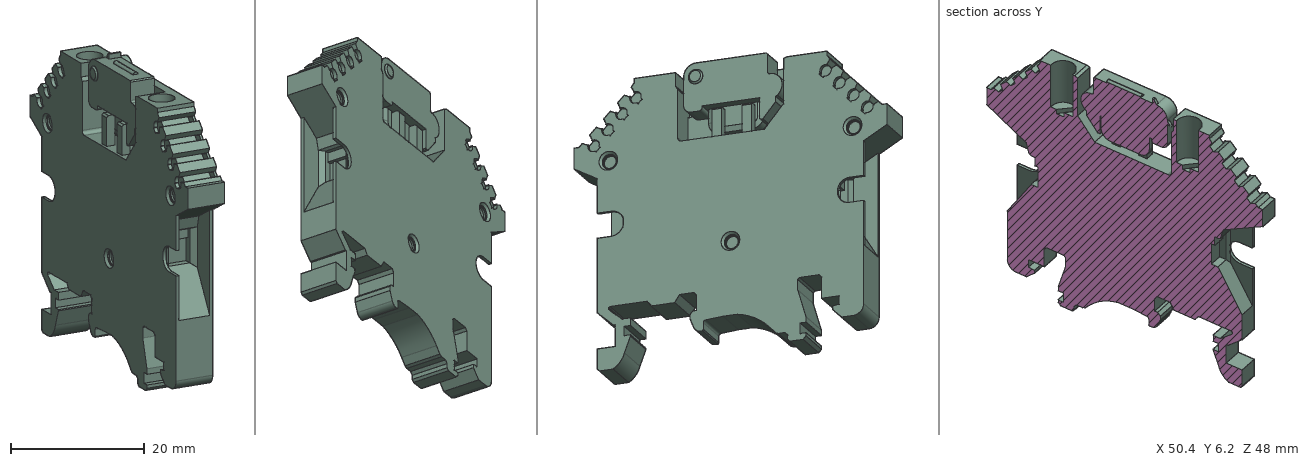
import cadquery as cq
import math


thickness = 6.2
wing_half_width = 25.2
body_half_width = 21.45
wing_bottom_z = 32.67
wing_root_z = 30.6
wing_top_z = 36.0
foot_bottom_z = -0.12
foot_bevel = 0.35
top_z = 45.75
top_half_width = 15.5

tooth_pitch = 2.25
tooth_count = 4
groove_x, groove_z = 15.54, 43.65
groove_floor = 0.73
tooth_tip_dx, tooth_tip_dz = 1.55, 0.33
tooth_land = 1.1
top_tooth_x, top_tooth_z = 16.0, 44.4
top_tooth_root_z = 45.1
last_tooth_end_x = 24.4
peg_hole_radius = 0.93
peg_hole_depth = 0.6
rear_peg_front_y, rear_peg_back_y = 5.1, 5.8
peg_hole_x, peg_hole_z = 15.3, 42.7
peg_key_width = 0.9
peg_key_reach = 1.05
key_angle = -45

dimple_mouth_diameter = 3.0
dimple_diameter = 2.3
dimple_floor_diameter = 2.0
dimple_cone_depth = 0.4
dimple_step_depth = 0.6
dimple_depth = 0.9
dimple_places = [(-19.65, 33.2), (19.65, 33.2), (0, 17.65)]

screw_diameter = 4.0
screw_x = 11.47
screw_y = 2.84
screw_hole_depth = 8.0
screw_slot_width = 0.9
screw_slot_depth = 0.8
screw_slot_angle = 45

entry_front_y, entry_back_y = 0.5, 5.67
entry_inner_x = 17.5
entry_bottom_z = 14.05
entry_floor_top_z = 20.45
funnel_top_z = 26.85
entry_roof_end_x = 18.0
socket_front_y, socket_back_y = 1.02, 4.66
socket_bottom_z, socket_top_z = 21.2, 26.6
socket_depth = 1.2
clamp_bottom_z = 25.0
clamp_setback = 0.6
notch_diameter = 4.0
notch_x, notch_z = 19.2, 23.1

recess_left, recess_right = -8.5, 8.55
recess_floor_z = 34.7
recess_ramp_x, recess_ramp_z = 5.45, 38.35
recess_corner_radius = 0.6
recess_back_y = 4.66
recess_step_z = 39.96
recess_step_y = 4.2
lip_bevel_width = 0.54
lip_bevel_drop = 0.2
latch_relief_x = -8.86
latch_relief_z, latch_relief_end_z = 43.6, 43.0

lever_front_y = 0.66
lever_left, lever_right = -7.81, 5.7
lever_bevel = 0.2
lever_top_z = 47.1
hinge_radius = 2.0
pin_x, pin_z = -5.87, 44.9
pin_diameter = 2.3
pin_front_y = 0.36
pin_chamfer = 0.25
lug_x, lug_z = -5.88, 45.03
lug_radius = 1.87
tab_front_y = 2.68
tab_left, tab_tip_x, tab_right = -6.1, -5.35, -5.02
tab_root_z = 46.7
tab_top_z = 47.87
tail_low_z, tail_high_z = 44.1, 44.8
tail_overlap = 0.2
label_rib_left, label_rib_right = -2.94, 3.3
label_rib_front_y, label_rib_back_y = 2.31, 3.2
label_rib_top_z = 47.45
fuse_left, fuse_right = -4.52, 4.35
fuse_bottom_z, fuse_root_z = 36.1, 40.1
fuse_front_y = 2.2
fuse_bevel_depth = 0.3
fuse_bevel_width = 0.85
fuse_corner_radius = 1.75
blade_centers = (-2.43, 2.43)
blade_width = 1.54
blade_top_z = 39.5
blade_front_y, blade_back_y = 0.5, 1.9
blade_chamfer = 0.3


def front_plane(y):
    """Sketch plane parallel to the front face; positive extrusion goes toward -Y."""
    return cq.Workplane("XZ", origin=(0, y, 0))


def slab(sketch, front_y, back_y):
    """Extrude a closed outline, drawn on the Y = 0 plane, from front_y to back_y."""
    return sketch.extrude(-(back_y - front_y)).translate((0, front_y, 0))


def block(x0, x1, y0, y1, z0, z1):
    size = (x1 - x0, y1 - y0, z1 - z0)
    return cq.Workplane("XY").box(*size, centered=False).translate((x0, y0, z0))


def both_sides(shape):
    return shape.union(shape.mirror("YZ"))


def shoulder_points():
    """Right shoulder outline from the top edge down to the wing, teeth included."""
    points = [(top_half_width, top_z), (top_half_width, top_tooth_root_z)]
    points.append((top_tooth_x, top_tooth_z))
    for i in range(tooth_count):
        x = groove_x + i * tooth_pitch
        z = groove_z - i * tooth_pitch
        points.append((x, z))
        points.append((x + groove_floor, z - groove_floor))
        points.append((x + tooth_tip_dx, z - tooth_tip_dz))
        if i < tooth_count - 1:
            points.append((x + tooth_tip_dx + tooth_land, z - tooth_tip_dz - tooth_land))
    points += [(last_tooth_end_x, wing_top_z), (wing_half_width, wing_top_z)]
    return points


def make_housing():
    right = shoulder_points()
    left = [(-x, z) for x, z in reversed(right)]
    outline = (
        front_plane(0)
        .moveTo(-wing_half_width, wing_bottom_z)
        .lineTo(-body_half_width, wing_root_z)
        .lineTo(-body_half_width, 9.2)
        .lineTo(-18.85, 6.9)
        .lineTo(-18.55, 6.9)
        .lineTo(-18.55, 3.45)
        .lineTo(-body_half_width, 3.45)
        .lineTo(-body_half_width, foot_bottom_z + foot_bevel)
        .lineTo(-body_half_width + foot_bevel, foot_bottom_z)
        .lineTo(-18.9, foot_bottom_z)
        .threePointArc((-17.75, 0.85), (-17.07, 2.2))
        .lineTo(-16.1, 4.75)
        .lineTo(-16.1, 4.95)
        .lineTo(-17.1, 4.95)
        .lineTo(-17.1, 6.43)
        .lineTo(-16.1, 6.43)
        .lineTo(-16.1, 7.65)
        .lineTo(-17.45, 7.65)
        .lineTo(-19.6, 9.5)
        .lineTo(-19.6, 9.75)
        .lineTo(-19.4, 9.92)
        .lineTo(-13.45, 9.92)
        .lineTo(-12.8, 9.07)
        .lineTo(-8.97, 9.07)
        .lineTo(-8.2, 10.25)
        .lineTo(-5.9, 10.25)
        .lineTo(-5.5, 9.7)
        .lineTo(-5.5, 7.35)
        .lineTo(-6.03, 7.35)
        .lineTo(-6.53, 6.85)
        .lineTo(-6.53, 6.1)
        .lineTo(-5.9, 4.6)
        .threePointArc((-5.45, 4.12), (-4.9, 3.95))
        .lineTo(-4.5, 3.95)
        .lineTo(-4.36, 4.15)
        .lineTo(-4.36, 5.2)
        .threePointArc((-4.24, 5.5), (-3.95, 5.62))
        .lineTo(-1.2, 5.8)
        .lineTo(1.1, 5.8)
        .threePointArc((3.8, 4.88), (6.28, 3.0))
        .lineTo(7.2, 2.0)
        .lineTo(7.7, 1.8)
        .lineTo(8.76, 1.8)
        .lineTo(9.2, 1.36)
        .lineTo(9.2, 0.65)
        .lineTo(9.55, 0.3)
        .lineTo(11.7, 0.3)
        .lineTo(12.17, 0.8)
        .lineTo(12.17, 1.3)
        .lineTo(11.2, 1.3)
        .lineTo(11.2, 2.98)
        .lineTo(12.17, 2.98)
        .lineTo(12.15, 3.85)
        .lineTo(10.83, 8.3)
        .lineTo(10.83, 9.95)
        .lineTo(11.13, 10.25)
        .lineTo(14.25, 10.25)
        .lineTo(14.65, 9.85)
        .lineTo(14.65, 6.43)
        .lineTo(17.5, 6.43)
        .lineTo(17.5, 5.1)
        .lineTo(16.45, 4.95)
        .lineTo(16.45, 4.36)
        .lineTo(17.9, 2.98)
        .lineTo(19.8, 2.98)
        .threePointArc((20.95, 3.45), (body_half_width, 4.6))
        .lineTo(body_half_width, wing_root_z)
        .lineTo(wing_half_width, wing_bottom_z)
    )
    for x, z in list(reversed(right)) + list(reversed(left)):
        outline = outline.lineTo(x, z)
    return slab(outline.close(), 0, thickness)


def make_peg_holes():
    """Keyed blind front holes and rear pockets at the foot of each groove."""
    holes = cq.Workplane("XY")
    for i in range(tooth_count):
        x = peg_hole_x + i * tooth_pitch
        z = peg_hole_z - i * tooth_pitch
        hole = slab(front_plane(0).circle(peg_hole_radius), 0, peg_hole_depth)
        key = block(-peg_key_reach, 0, 0, peg_hole_depth, -peg_key_width / 2, peg_key_width / 2)
        key = key.rotate((0, 0, 0), (0, 1, 0), key_angle)
        rear_hole = slab(front_plane(0).circle(peg_hole_radius), rear_peg_front_y, rear_peg_back_y)
        holes = holes.union(hole.union(key).union(rear_hole).translate((x, 0, z)))
    return both_sides(holes)


def make_dimple(x, z):
    """Countersunk blind hole with a step above its floor."""
    section = [
        (0, 0),
        (dimple_mouth_diameter / 2, 0),
        (dimple_diameter / 2, dimple_cone_depth),
        (dimple_diameter / 2, dimple_step_depth),
        (dimple_floor_diameter / 2, dimple_step_depth),
        (dimple_floor_diameter / 2, dimple_depth),
        (0, dimple_depth),
    ]
    return cq.Workplane("XY").polyline(section).close().revolve().translate((x, 0, z))


def make_screw_holes():
    """Screw shafts from the top; the screw head with its slot is the bottom of each."""
    bottom_z = top_z - screw_hole_depth
    shaft = cq.Workplane("XY").circle(screw_diameter / 2).extrude(screw_hole_depth)
    slot = cq.Workplane("XY").rect(screw_diameter, screw_slot_width).extrude(-screw_slot_depth)
    slot = slot.rotate((0, 0, 0), (0, 0, 1), screw_slot_angle)
    head_disc = cq.Workplane("XY").circle(screw_diameter / 2).extrude(-screw_slot_depth)
    shaft = shaft.union(slot.intersect(head_disc))
    holes = cq.Workplane("XY")
    for x in (-screw_x, screw_x):
        holes = holes.union(shaft.translate((x, screw_y, bottom_z)))
    return holes


def make_wire_entries():
    wing_slope = (wing_bottom_z - wing_root_z) / (wing_half_width - body_half_width)
    roof_end_z = wing_root_z - (body_half_width - entry_roof_end_x) * wing_slope
    chamber = slab(
        front_plane(0).polyline([
            (body_half_width, entry_bottom_z),
            (entry_inner_x, entry_floor_top_z),
            (entry_inner_x, funnel_top_z),
            (entry_roof_end_x, roof_end_z),
            (body_half_width, wing_root_z),
        ]).close(),
        entry_front_y, entry_back_y,
    )
    floor_run = body_half_width - entry_inner_x
    floor_rise = entry_floor_top_z - entry_bottom_z
    funnel_depth = (socket_bottom_z - entry_floor_top_z) * floor_run / floor_rise
    wide_y = (entry_front_y + entry_back_y) / 2
    wide_z = (entry_floor_top_z + funnel_top_z) / 2
    socket_y = (socket_front_y + socket_back_y) / 2
    socket_z = (socket_bottom_z + socket_top_z) / 2
    socket_width = socket_back_y - socket_front_y
    funnel = (
        cq.Workplane("YZ", origin=(entry_inner_x, 0, 0))
        .center(wide_y, wide_z)
        .rect(entry_back_y - entry_front_y, funnel_top_z - entry_floor_top_z)
        .workplane(offset=-funnel_depth)
        .center(socket_y - wide_y, socket_z - wide_z)
        .rect(socket_width, socket_top_z - socket_bottom_z)
        .loft(ruled=True)
    )
    socket_mouth_x = entry_inner_x - funnel_depth
    socket_end_x = socket_mouth_x - socket_depth
    socket = block(socket_end_x, socket_mouth_x, socket_front_y, socket_back_y,
                   socket_bottom_z, socket_top_z)
    clamp = block(socket_end_x, socket_mouth_x - clamp_setback, socket_front_y, socket_back_y,
                  clamp_bottom_z, socket_top_z)
    notch = slab(front_plane(0).center(notch_x, notch_z).circle(notch_diameter / 2),
                 0, entry_front_y)
    notch_mouth = block(notch_x, body_half_width, 0, entry_front_y,
                        notch_z - notch_diameter / 2, notch_z + notch_diameter / 2)
    entry = chamber.union(funnel).union(socket.cut(clamp)).union(notch).union(notch_mouth)
    return both_sides(entry)


def make_recess():
    """Fuse recess, open to the front and the top, with a ramp at its lower right."""
    profile = slab(
        front_plane(0).polyline([
            (recess_left, top_z),
            (recess_left, recess_floor_z),
            (recess_ramp_x, recess_floor_z),
            (recess_right, recess_ramp_z),
            (recess_right, top_z - lip_bevel_drop),
            (recess_right + lip_bevel_width, top_z),
        ]).close(),
        0, recess_back_y,
    )
    profile = profile.edges(
        cq.selectors.NearestToPointSelector((recess_left, recess_back_y / 2, recess_floor_z))
    ).fillet(recess_corner_radius)
    step = block(recess_left, recess_right, recess_step_y, recess_back_y,
                 recess_floor_z, recess_step_z)
    latch_relief = slab(
        front_plane(0).polyline([
            (recess_left, top_z),
            (latch_relief_x, top_z),
            (latch_relief_x, latch_relief_z),
            (recess_left, latch_relief_end_z),
        ]).close(),
        0, recess_back_y,
    )
    return profile.cut(step).union(latch_relief)


def hinge_arc_middle():
    """Point halfway along the round upper left corner of the lever."""
    reach = hinge_radius * math.sqrt(0.5)
    return (lever_left + hinge_radius - reach, lever_top_z - hinge_radius + reach)


def make_lever():
    outline = (
        front_plane(0)
        .moveTo(lever_left, lever_top_z - hinge_radius)
        .threePointArc(hinge_arc_middle(), (lever_left + hinge_radius, lever_top_z))
        .lineTo(lever_right - lever_bevel, lever_top_z)
        .lineTo(lever_right, lever_top_z - lever_bevel)
        .lineTo(lever_right, 44.0)
        .threePointArc((5.8, 43.8), (6.05, 43.73))
        .threePointArc((7.6, 43.0), (8.04, 41.8))
        .threePointArc((7.87, 40.9), (7.3, 40.1))
        .lineTo(7.0, recess_step_z)
        .lineTo(7.0, 39.1)
        .lineTo(4.95, 36.65)
        .lineTo(4.55, 36.65)
        .lineTo(4.42, 36.8)
        .lineTo(4.42, fuse_root_z)
        .lineTo(-4.85, fuse_root_z)
        .threePointArc((-4.93, 39.55), (-5.25, 39.35))
        .lineTo(-6.65, 39.35)
        .threePointArc((-7.45, 39.68), (lever_left, 40.45))
        .close()
    )
    return slab(outline, lever_front_y, recess_back_y)


def make_hinge_lug():
    """Round ear on the rear wall behind the lever."""
    return slab(front_plane(0).center(lug_x, lug_z).circle(lug_radius), recess_back_y, thickness)


def make_hinge_pin():
    pin = slab(front_plane(0).center(pin_x, pin_z).circle(pin_diameter / 2),
               pin_front_y, recess_back_y)
    return pin.faces("<Y").chamfer(pin_chamfer)


def make_latch_tab():
    """Sloped tab standing over the hinge and its wedge-shaped tail beside it."""
    tab = [
        (tab_left, tab_root_z),
        (tab_tip_x, tab_top_z),
        (tab_right, tab_top_z),
        (tab_right, tab_root_z),
    ]
    tail_right = lever_left + tail_overlap
    tail = [
        (recess_left, tail_low_z),
        (lever_left, tail_high_z),
        (tail_right, tail_high_z),
        (tail_right, tail_low_z),
    ]
    shape = slab(front_plane(0).polyline(tab).close(), tab_front_y, recess_back_y)
    return shape.union(slab(front_plane(0).polyline(tail).close(), tab_front_y, recess_back_y))


def make_label_rib():
    """Low rib with a rounded back on top of the lever."""
    middle_y = (label_rib_front_y + label_rib_back_y) / 2
    section = (
        cq.Workplane("YZ", origin=(label_rib_left, 0, 0))
        .moveTo(label_rib_front_y, lever_top_z)
        .threePointArc((middle_y, label_rib_top_z), (label_rib_back_y, lever_top_z))
        .close()
    )
    return section.extrude(label_rib_right - label_rib_left)


def fuse_outline(sketch, inset):
    """Fuse outline with round lower corners, drawn in from its sides and bottom by inset."""
    left = fuse_left + inset
    right = fuse_right - inset
    bottom = fuse_bottom_z + inset
    radius = fuse_corner_radius - inset
    corner_gap = radius * (1 - math.sqrt(0.5))
    return (
        sketch.moveTo(left, fuse_root_z)
        .lineTo(left, bottom + radius)
        .threePointArc((left + corner_gap, bottom + corner_gap), (left + radius, bottom))
        .lineTo(right - radius, bottom)
        .threePointArc((right - corner_gap, bottom + corner_gap), (right, bottom + radius))
        .lineTo(right, fuse_root_z)
        .close()
    )


def make_fuse():
    """Fuse body hanging below the lever, rounded below and bevelled toward the front."""
    bevel_end_y = fuse_front_y + fuse_bevel_depth
    body = slab(fuse_outline(front_plane(0), 0), bevel_end_y, recess_back_y)
    bevel = fuse_outline(front_plane(bevel_end_y), 0).workplane(offset=fuse_bevel_depth)
    bevel = fuse_outline(bevel, fuse_bevel_width).loft(ruled=True)
    return body.union(bevel)


def make_blade(x):
    blade = block(x - blade_width / 2, x + blade_width / 2, blade_front_y, blade_back_y,
                  recess_floor_z, blade_top_z)
    return blade.edges("<Y and >Z").chamfer(blade_chamfer)


housing = make_housing().cut(make_peg_holes()).cut(make_screw_holes())
housing = housing.cut(make_wire_entries()).cut(make_recess())
for dimple_x, dimple_z in dimple_places:
    housing = housing.cut(make_dimple(dimple_x, dimple_z))

result = housing.union(make_lever()).union(make_hinge_lug()).union(make_hinge_pin())
result = result.union(make_latch_tab()).union(make_label_rib()).union(make_fuse())
for blade_x in blade_centers:
    result = result.union(make_blade(blade_x))